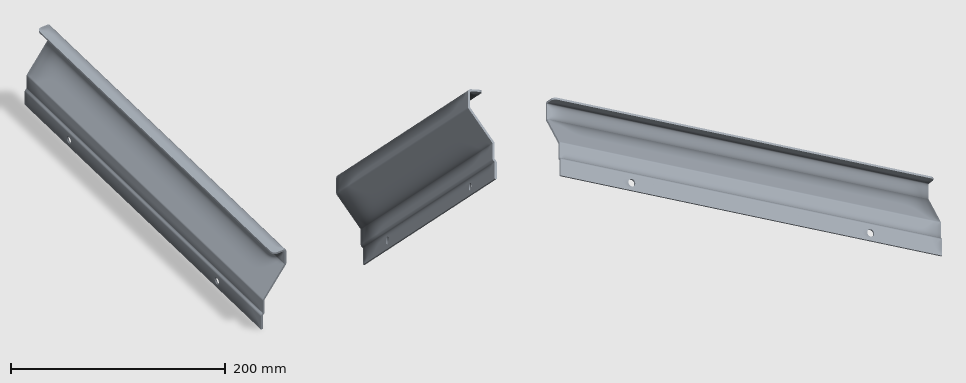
import cadquery as cq
import math

length = 406.5
depth = 28.0
height = 83.7

thickness = 2.0
inner_bend_radius = 1.0
outer_bend_radius = inner_bend_radius + thickness

flange_depth = 14.5
flange_corner_radius = 5.0
joggle = 2.0
upper_bend_drop = 17.5
middle_bend_drop = 49.5
joggle_drop = 65.0

hole_diameter = 7.5
hole_end_distance = 76.0
hole_height = 7.7


def offset_path(points, distance):
    """Shift an open path to the right of its direction, with mitred corners."""
    normals = []
    for (y0, z0), (y1, z1) in zip(points, points[1:]):
        span = math.hypot(y1 - y0, z1 - z0)
        normals.append(((z1 - z0) / span, (y0 - y1) / span))
    shifted = []
    for index, (y, z) in enumerate(points):
        before = normals[max(index - 1, 0)]
        after = normals[min(index, len(normals) - 1)]
        scale = distance / (1 + before[0] * after[0] + before[1] * after[1])
        shifted.append((y + scale * (before[0] + after[0]), z + scale * (before[1] + after[1])))
    return shifted


def round_bend(body, point, radius):
    """Round the long edge that passes through a profile corner."""
    tolerance = thickness / 10
    y, z = point
    corner = cq.selectors.BoxSelector(
        (-tolerance, y - tolerance, z - tolerance),
        (length + tolerance, y + tolerance, z + tolerance),
    )
    return body.edges("|X").edges(corner).fillet(radius)


def bent_sheet():
    wall_y = depth - thickness
    front_face = [
        (0, 0),
        (0, height - joggle_drop - joggle),
        (joggle, height - joggle_drop),
        (joggle, height - middle_bend_drop),
        (wall_y, height - upper_bend_drop),
        (wall_y, height - thickness),
        (depth - flange_depth, height - thickness),
    ]
    back_face = offset_path(front_face, thickness)
    outline = front_face + back_face[::-1]
    body = cq.Workplane("YZ").polyline(outline).close().extrude(length)

    turns_right = [True, False, True, False, False]
    for front, back, right in zip(front_face[1:-1], back_face[1:-1], turns_right):
        body = round_bend(body, front, outer_bend_radius if right else inner_bend_radius)
        body = round_bend(body, back, inner_bend_radius if right else outer_bend_radius)
    return body


def round_flange_corners(body):
    free_y = depth - flange_depth
    tolerance = thickness / 10
    corners = cq.selectors.BoxSelector(
        (-tolerance, free_y - tolerance, height - thickness - tolerance),
        (length + tolerance, free_y + tolerance, height + tolerance),
    )
    return body.edges("|Z").edges(corners).fillet(flange_corner_radius)


def drill_holes(body):
    for x in (hole_end_distance, length - hole_end_distance):
        drill = (
            cq.Workplane("XZ")
            .center(x, hole_height)
            .circle(hole_diameter / 2)
            .extrude(-depth)
        )
        body = body.cut(drill)
    return body


result = drill_holes(round_flange_corners(bent_sheet()))